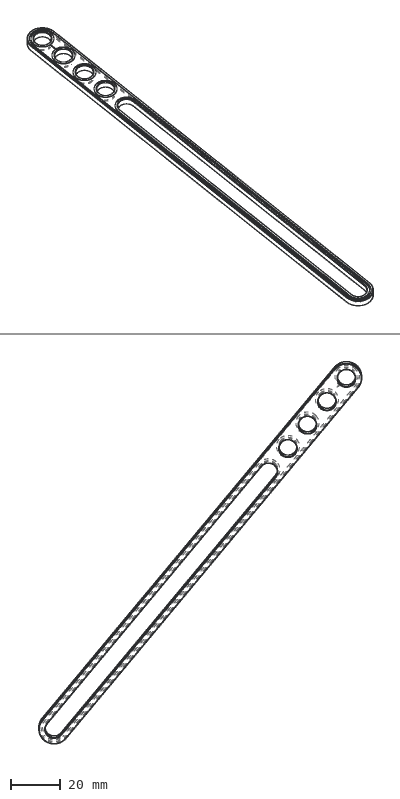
import cadquery as cq

length = 200
width = 12.5
thickness = 3.2

bore_diameter = 7.0
collar_diameter = 9.2
hole_count = 4

edge_bevel = 0.3

rim_width = 1.0
recess_depth = 0.3
recess_floor = thickness - recess_depth

rib_width = 0.2

position_count = 16
slot_end_x = (length - width) / 2
first_hole_x = -slot_end_x
hole_pitch = (slot_end_x - first_hole_x) / (position_count - 1)
hole_positions = [first_hole_x + i * hole_pitch for i in range(hole_count)]
slot_start_x = first_hole_x + hole_count * hole_pitch


def rounded_bar(start_x, end_x, diameter, bottom):
    """Bar from bottom to the upper face, with round ends centered on start_x and end_x."""
    return (
        cq.Workplane("XY", origin=((start_x + end_x) / 2, 0, bottom))
        .slot2D(end_x - start_x + diameter, diameter)
        .extrude(thickness - bottom)
    )


def hole_and_slot_shapes(diameter, bottom):
    """Cylinders at every hole plus the long slot, all of one diameter."""
    cylinders = (
        cq.Workplane("XY", origin=(0, 0, bottom))
        .pushPoints([(x, 0) for x in hole_positions])
        .circle(diameter / 2)
        .extrude(thickness - bottom)
    )
    return cylinders.union(rounded_bar(slot_start_x, slot_end_x, diameter, bottom))


def make_pierced_bar():
    """Bar with its holes and slot, bevelled along all upper and lower edges."""
    bar = rounded_bar(first_hole_x, slot_end_x, width, 0)
    pierced = bar.cut(hole_and_slot_shapes(bore_diameter, 0))
    return pierced.faces("<Z or >Z").edges().chamfer(edge_bevel)


def make_rib():
    """Rib along the centerline between the first two holes."""
    return (
        cq.Workplane("XY", origin=(first_hole_x + hole_pitch / 2, 0, recess_floor))
        .rect(hole_pitch, rib_width)
        .extrude(recess_depth)
    )


def make_recess():
    """Material removed between the rim, the collars and the rib."""
    inside_rim = rounded_bar(first_hole_x, slot_end_x, width - 2 * rim_width, recess_floor)
    collars = hole_and_slot_shapes(collar_diameter, recess_floor)
    return inside_rim.cut(collars).cut(make_rib())


result = make_pierced_bar().cut(make_recess())